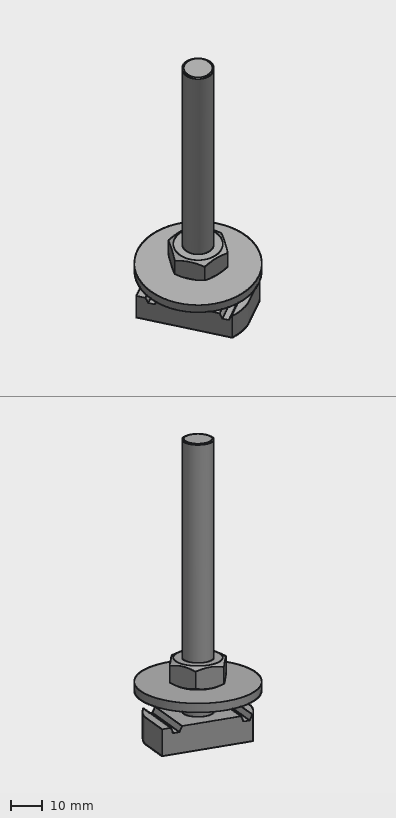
import cadquery as cq
import math

total_height = 100.0
stud_diameter = 10.0
tip_chamfer_width = 0.5
tip_chamfer_height = 0.3

head_length = 34.4
head_width = 19.6
head_height = 9.0
head_corner_radius = 17.4

groove_offset = 12.2
groove_top_width = 3.9
groove_floor_width = 2.1
groove_depth = 1.9

washer_diameter = 40.0
washer_bore = 10.5
washer_thickness = 3.0
washer_bottom = 16.0

nut_across_flats = 17.0
nut_height = 8.0
nut_face_diameter = 15.5
nut_chamfer_angle = 30.0
nut_bottom = washer_bottom + washer_thickness
envelope_clearance = 1.0


def make_stud():
    radius = stud_diameter / 2
    profile = (
        cq.Workplane("XZ")
        .lineTo(radius, 0)
        .lineTo(radius, total_height - tip_chamfer_height)
        .lineTo(radius - tip_chamfer_width, total_height)
        .lineTo(0, total_height)
        .close()
    )
    return profile.revolve(360, (0, 0, 0), (0, 1, 0))


def make_head():
    half_length = head_length / 2
    half_width = head_width / 2
    arc_end_y = math.sqrt(head_corner_radius**2 - half_length**2)
    arc_side_x = math.sqrt(head_corner_radius**2 - half_width**2)
    arc_middle_angle = (math.atan2(arc_end_y, half_length) + math.atan2(half_width, arc_side_x)) / 2
    arc_middle_x = head_corner_radius * math.cos(arc_middle_angle)
    arc_middle_y = head_corner_radius * math.sin(arc_middle_angle)
    head = (
        cq.Workplane("XY")
        .moveTo(-half_length, -half_width)
        .lineTo(arc_side_x, -half_width)
        .threePointArc((arc_middle_x, -arc_middle_y), (half_length, -arc_end_y))
        .lineTo(half_length, half_width)
        .lineTo(-arc_side_x, half_width)
        .threePointArc((-arc_middle_x, arc_middle_y), (-half_length, arc_end_y))
        .close()
        .extrude(head_height)
    )
    for side in (-1, 1):
        head = head.cut(make_groove(side * groove_offset))
    return head


def make_groove(center_x):
    floor_z = head_height - groove_depth
    return (
        cq.Workplane("XZ")
        .moveTo(center_x - groove_top_width / 2, head_height)
        .lineTo(center_x - groove_floor_width / 2, floor_z)
        .lineTo(center_x + groove_floor_width / 2, floor_z)
        .lineTo(center_x + groove_top_width / 2, head_height)
        .close()
        .extrude(head_width, both=True)
    )


def make_washer():
    return (
        cq.Workplane("XY")
        .workplane(offset=washer_bottom)
        .circle(washer_diameter / 2)
        .circle(washer_bore / 2)
        .extrude(washer_thickness)
    )


def make_nut():
    across_corners = nut_across_flats / math.cos(math.radians(30))
    hexagon = (
        cq.Workplane("XY")
        .workplane(offset=nut_bottom)
        .polygon(6, across_corners)
        .extrude(nut_height)
    )
    envelope_radius = across_corners / 2 + envelope_clearance
    slope = math.tan(math.radians(nut_chamfer_angle))
    face_radius = nut_face_diameter / 2
    nut_top = nut_bottom + nut_height
    envelope = (
        cq.Workplane("XZ")
        .moveTo(0, nut_bottom)
        .lineTo(face_radius, nut_bottom)
        .lineTo(envelope_radius, nut_bottom + (envelope_radius - face_radius) * slope)
        .lineTo(envelope_radius, nut_top - (envelope_radius - face_radius) * slope)
        .lineTo(face_radius, nut_top)
        .lineTo(0, nut_top)
        .close()
        .revolve(360, (0, 0, 0), (0, 1, 0))
    )
    return hexagon.intersect(envelope)


result = make_stud().union(make_head()).union(make_nut()).union(make_washer())